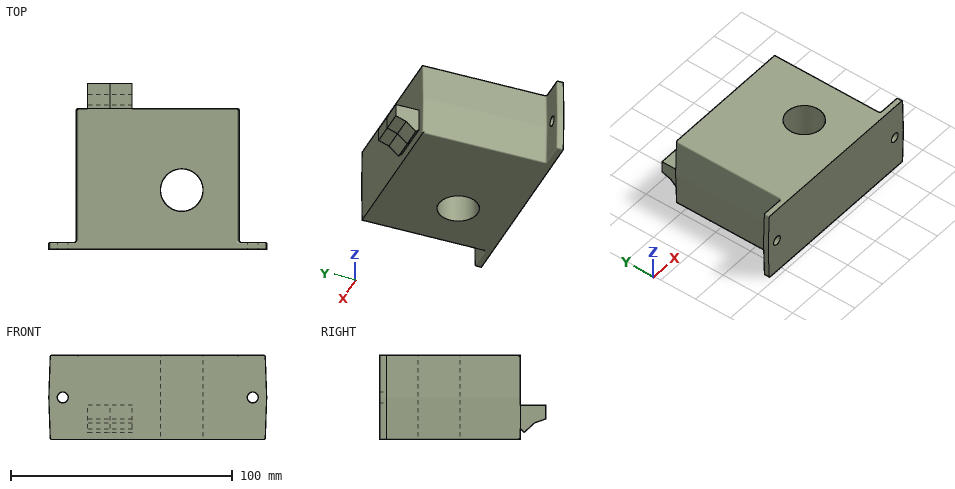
import cadquery as cq
import math

flange_width = 98.4
block_width = 73.6
height = 38.1
housing_depth = 63.5
flange_thickness = 3.15
draft_angle = 2.0
edge_radius = 0.75
inner_corner_radius = 1.0
pick_margin = 0.2

bore_diameter = 19.1
bore_x = 10.8
bore_from_front = 26.8
screw_hole_diameter = 4.8
screw_hole_spacing = 85.7

total_depth = 74.9
terminal_width = 10.1
terminal_count = 2
terminal_row_left = -31.8
terminal_top_z = -3.4
terminal_outer_bottom_z = -9.7
terminal_bend_z = -11.5
terminal_tip_z = -15.8
terminal_root_z = -14.2
terminal_bend_offset = 6.4
terminal_tip_offset = 1.7

half_height = height / 2
draft_inset = half_height * math.tan(math.radians(draft_angle))


def drafted_slab(width, depth):
    """Slab starting at Y = 0 with its widest section at mid-height."""
    half_width = width / 2
    narrow = half_width - draft_inset
    return (
        cq.Workplane("XZ")
        .polyline([
            (-narrow, -half_height),
            (narrow, -half_height),
            (half_width, 0),
            (narrow, half_height),
            (-narrow, half_height),
            (-half_width, 0),
        ])
        .close()
        .extrude(-depth)
    )


def upright_edges(body, width, y):
    """Upright edges on both sides of a slab of this width, at this Y."""
    reach = draft_inset + pick_margin
    boxes = [
        cq.selectors.BoxSelector(
            (middle - reach, y - pick_margin, -height),
            (middle + reach, y + pick_margin, height),
        )
        for middle in (-width / 2, width / 2)
    ]
    return body.edges(boxes[0] + boxes[1]).edges("not(|Y)")


def round_edges(body):
    """Round the sides and the back of the flange; the front and back rims stay sharp."""
    body = upright_edges(body, block_width, flange_thickness).fillet(inner_corner_radius)
    rims = body.faces(">Z or <Z").edges("not(<Y or >Y)")
    back_corners = upright_edges(body, block_width, housing_depth)
    flange_corners = upright_edges(body, flange_width, flange_thickness)
    return rims.add(back_corners).add(flange_corners).fillet(edge_radius)


def make_housing():
    block = drafted_slab(block_width, housing_depth)
    flange = drafted_slab(flange_width, flange_thickness)
    body = round_edges(block.union(flange))

    bore = (
        cq.Workplane("XY")
        .center(bore_x, bore_from_front)
        .circle(bore_diameter / 2)
        .extrude(half_height, both=True)
    )
    screw_holes = (
        cq.Workplane("XZ")
        .pushPoints([(-screw_hole_spacing / 2, 0), (screw_hole_spacing / 2, 0)])
        .circle(screw_hole_diameter / 2)
        .extrude(-flange_thickness)
    )
    return body.cut(bore).cut(screw_holes)


def make_terminal(index):
    left = terminal_row_left + index * terminal_width
    return (
        cq.Workplane("YZ", origin=(left, 0, 0))
        .polyline([
            (housing_depth, terminal_top_z),
            (total_depth, terminal_top_z),
            (total_depth, terminal_outer_bottom_z),
            (housing_depth + terminal_bend_offset, terminal_bend_z),
            (housing_depth + terminal_tip_offset, terminal_tip_z),
            (housing_depth, terminal_root_z),
        ])
        .close()
        .extrude(terminal_width)
    )


housing = make_housing()
terminals = [make_terminal(index) for index in range(terminal_count)]

result = cq.Compound.makeCompound([housing.val(), *[terminal.val() for terminal in terminals]])